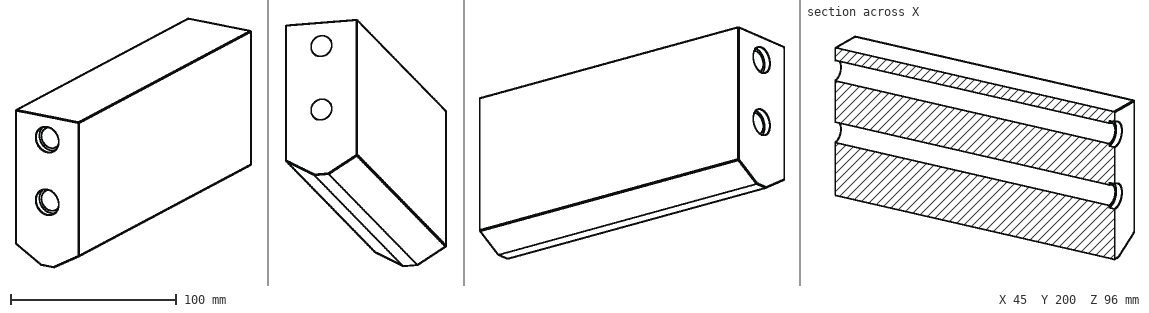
import cadquery as cq
import math

width = 45.0
length = 200.0
height = 96.0

bottom_flat = 9.0
taper_angle = 30.0
taper_height = (width - bottom_flat) / 2 * math.tan(math.radians(taper_angle))

edge_bevel = 0.5

hole_diameter = 13.0
counterbore_diameter = 16.0
counterbore_depth = 4.0
mouth_bevel = 0.2
top_hole_drop = 15.0
hole_spacing = 40.0
hole_count = 2

front_y = -length / 2
back_y = length / 2


def make_block():
    """Bar with a tapered underside, its bottom flat resting on Z = 0."""
    half_width = width / 2
    half_flat = bottom_flat / 2
    profile = [
        (-half_flat, 0),
        (half_flat, 0),
        (half_width, taper_height),
        (half_width, height),
        (-half_width, height),
        (-half_width, taper_height),
    ]
    block = cq.Workplane("XZ", origin=(0, back_y, 0)).polyline(profile).close().extrude(length)
    end_edges = block.faces("<Y or >Y").edges()
    side_edges = block.edges("|Y").edges("not(<Z)")
    return end_edges.add(side_edges).chamfer(edge_bevel)


def make_hole_cutter(center_z):
    """Solid to remove for one hole: bore, front counterbore and bevelled mouth, turned about Y."""
    bore_radius = hole_diameter / 2
    counterbore_radius = counterbore_diameter / 2
    half_section = [
        (0, front_y),
        (counterbore_radius + mouth_bevel, front_y),
        (counterbore_radius, front_y + mouth_bevel),
        (counterbore_radius, front_y + counterbore_depth),
        (bore_radius, front_y + counterbore_depth),
        (bore_radius, back_y),
        (0, back_y),
    ]
    section = cq.Workplane("XY", origin=(0, 0, center_z)).polyline(half_section).close()
    return section.revolve(axisStart=(0, 0, 0), axisEnd=(0, 1, 0))


result = make_block()
for index in range(hole_count):
    hole_z = height - top_hole_drop - index * hole_spacing
    result = result.cut(make_hole_cutter(hole_z))